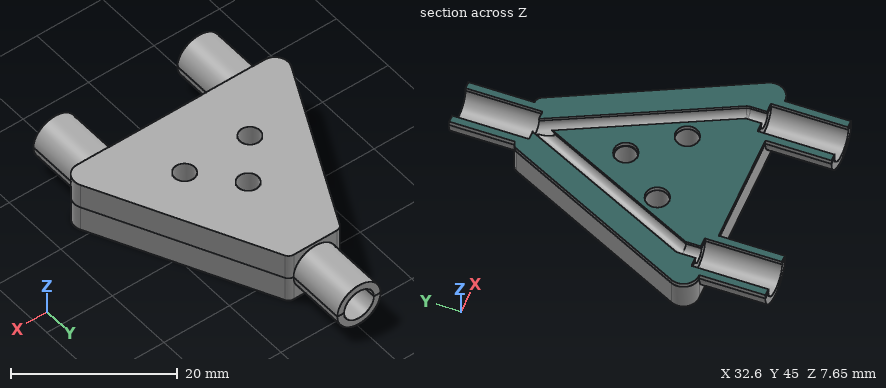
import cadquery as cq
import math


total_length = 45.0
plate_length = 28.0
plate_thickness = 7.65
half_thickness = plate_thickness / 2
plate_end = plate_length / 2

sleeve_diameter = 6.6
sleeve_radius = sleeve_diameter / 2
sleeve_spacing = 22.0
sleeve_offset = sleeve_spacing / 2
bore_diameter = 4.55
bore_depth = 9.9
channel_diameter = 2.1
channel_lead = 2.25

wide_corner_radius = 2.02
narrow_corner_radius = 1.0

screw_diameter = 3.0
narrow_screw_diameter = 2.85
centre_screw_y = 1.0
side_screw_x = 5.0
side_screw_y = -5.0
centre_screw = (0, centre_screw_y)
side_screws = [(-side_screw_x, side_screw_y), (side_screw_x, side_screw_y)]


def plate_blank():
    """Rounded trapezium whose slanted sides are tangent to the corner arcs."""
    wide_x = sleeve_offset + sleeve_radius
    wide_y = -plate_end + wide_corner_radius
    narrow_x = sleeve_radius
    narrow_y = plate_end - narrow_corner_radius

    run = wide_x - narrow_x
    rise = narrow_y - wide_y
    radius_drop = wide_corner_radius - narrow_corner_radius
    side_angle = math.atan2(run, rise) + math.asin(radius_drop / math.hypot(run, rise))

    def on_wide(angle):
        return (wide_x + wide_corner_radius * math.cos(angle),
                wide_y + wide_corner_radius * math.sin(angle))

    def on_narrow(angle):
        return (narrow_x + narrow_corner_radius * math.cos(angle),
                narrow_y + narrow_corner_radius * math.sin(angle))

    def mirrored(point):
        return (-point[0], point[1])

    down = -math.pi / 2
    up = math.pi / 2
    wide_middle = on_wide((down + side_angle) / 2)
    narrow_middle = on_narrow((side_angle + up) / 2)
    return (
        cq.Workplane("XY").workplane(offset=-half_thickness)
        .moveTo(*on_wide(down))
        .threePointArc(wide_middle, on_wide(side_angle))
        .lineTo(*on_narrow(side_angle))
        .threePointArc(narrow_middle, on_narrow(up))
        .lineTo(*mirrored(on_narrow(up)))
        .threePointArc(mirrored(narrow_middle), mirrored(on_narrow(side_angle)))
        .lineTo(*mirrored(on_wide(side_angle)))
        .threePointArc(mirrored(wide_middle), mirrored(on_wide(down)))
        .close()
        .extrude(plate_thickness)
    )


def rod(start, end, diameter):
    """Cylinder on the plane Z = 0 between two (x, y) points."""
    origin = cq.Vector(*start, 0)
    axis = cq.Vector(*end, 0) - origin
    return cq.Workplane(cq.Solid.makeCylinder(diameter / 2, axis.Length, origin, axis))


def splitter_blank():
    """Whole splitter before it is split in two, without screw holes."""
    tip = total_length / 2
    bore_end = tip - bore_depth
    junction = (0, bore_end)
    body = plate_blank()
    bores = []
    for x, side in ((-sleeve_offset, -1), (sleeve_offset, -1), (0, 1)):
        body = body.union(rod((x, side * bore_end), (x, side * tip), sleeve_diameter))
        bores.append(rod((x, side * bore_end), (x, side * tip), bore_diameter))
    for x in (-sleeve_offset, sleeve_offset):
        elbow = (x, -bore_end + channel_lead)
        bores.append(rod((x, -bore_end), elbow, channel_diameter))
        bores.append(cq.Workplane("XY").center(*elbow).sphere(channel_diameter / 2))
        bores.append(rod(elbow, junction, channel_diameter))
    for bore in bores:
        body = body.cut(bore)
    return body


def clamshell_half(side, centre_diameter):
    """Upper (side = 1) or lower (side = -1) half, with its screw holes."""
    keep = cq.Workplane("XY").box(
        2 * total_length, 2 * total_length, half_thickness
    ).translate((0, 0, side * half_thickness / 2))
    half = splitter_blank().intersect(keep)
    for points, diameter in (([centre_screw], centre_diameter), (side_screws, screw_diameter)):
        holes = (
            cq.Workplane("XY").pushPoints(points)
            .circle(diameter / 2).extrude(side * half_thickness)
        )
        half = half.cut(holes)
    return half


upper_half = clamshell_half(1, screw_diameter)
lower_half = clamshell_half(-1, narrow_screw_diameter)

result = cq.Compound.makeCompound([upper_half.solids().val(), lower_half.solids().val()])